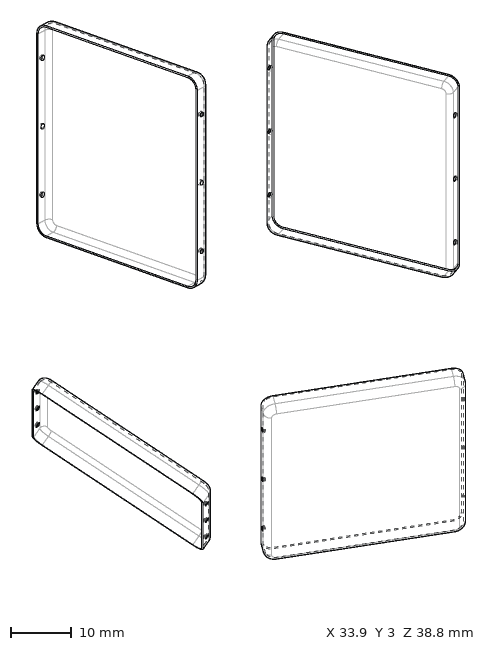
import cadquery as cq
import math

width = 33.9
height = 38.75
depth = 3.0
wall = 0.3
corner_radius = 2.0
back_edge_radius = 1.2

dent_diameter = 0.78
bump_diameter = 0.93
dimple_depth = 0.2
dimple_pitch = 12.5
dimple_setback = 1.15

rim_y = -depth / 2
side_x = width / 2


def rounded_tray(inset):
    """Solid tray blank, drawn in from the sides and back by the inset."""
    tray_depth = depth - inset
    return (
        cq.Workplane("XY")
        .box(width - 2 * inset, tray_depth, height - 2 * inset)
        .translate((0, rim_y + tray_depth / 2, 0))
        .edges("|Y")
        .fillet(corner_radius - inset)
        .faces(">Y")
        .edges()
        .fillet(back_edge_radius - inset)
    )


def dimple_cap(side, z, diameter, base_x):
    """Spherical cap rising inward from a base plane at distance base_x on one side."""
    tip_x = base_x - dimple_depth
    radius = diameter / 2
    sphere_radius = (radius**2 + dimple_depth**2) / (2 * dimple_depth)
    half_angle = math.asin(radius / sphere_radius) / 2
    mid_x = tip_x + sphere_radius * (1 - math.cos(half_angle))
    mid_radius = sphere_radius * math.sin(half_angle)
    return (
        cq.Workplane("XY")
        .moveTo(side * base_x, 0)
        .lineTo(side * base_x, radius)
        .threePointArc((side * mid_x, mid_radius), (side * tip_x, 0))
        .close()
        .revolve(360, (0, 0), (1, 0))
        .translate((0, rim_y + dimple_setback, z))
    )


result = rounded_tray(0).cut(rounded_tray(wall))

for side in (-1, 1):
    for row in (-1, 0, 1):
        z = row * dimple_pitch
        bump = dimple_cap(side, z, bump_diameter, side_x - wall)
        dent = dimple_cap(side, z, dent_diameter, side_x)
        result = result.union(bump).cut(dent)